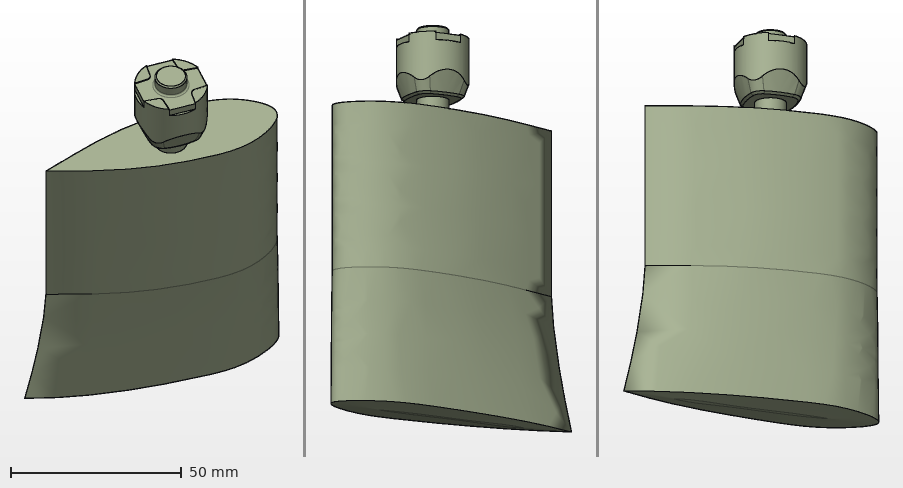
import cadquery as cq
import math


straight_height = 49.9
flare_height = 40.0
blade_bottom = -(straight_height + flare_height)
nose_y = 33.4
tail_y = -38.6
blade_half_width = 11.25
blade_center_x = -1.55
tail_x = -0.95
nose_growth = 0.6
tail_growth = 6.6
thinning = 1.65
tail_flare_power = 1.5
thinning_power = 0.65
flare_steps = 4

widest_fraction = 0.34
shoulder_chord_fraction = 0.61
shoulder_width_fraction = 0.795
cheek_angle = math.radians(45)
tail_half_angle = math.radians(20.5)

crown_depth = 0.5
crown_width_fraction = 0.08
crown_length_fraction = 0.6

overall_height = 117.06
shaft_radius = 4.75
hub_radius = 10.65
hub_bottom = 5.2
hub_top = 23.4
knob_radius = 4.7
knob_top = overall_height + blade_bottom - crown_depth
knob_chamfer = 0.45
knob_fillet = 0.6

recess_depth = 0.35
recess_floor = hub_top - recess_depth
arm_root_half_width = 4.5
arm_end_half_width = 3.95
arm_corner_radius = 1.5
arm_flat_distance = 9.85
arm_flat_depth = 2.5

taper_base = 5.85
taper_top = 12.2
taper_base_distance = 8.2
taper_bulge_radius = 24.0
taper_face_fraction = 0.58
hub_bottom_distance = 7.4


def blade_profile(z, nose, tail, half_width, center_x):
    """Closed teardrop wire: one smooth curve from the sharp tail, round the nose and back."""
    chord = nose - tail
    widest_y = nose - widest_fraction * chord
    shoulder_y = nose - shoulder_chord_fraction * chord
    shoulder = shoulder_width_fraction * half_width
    shoulder_x = center_x + (tail_x - center_x) * (widest_y - shoulder_y) / (widest_y - tail)
    cheek = half_width * math.cos(cheek_angle)
    cheek_y = widest_y + (nose - widest_y) * math.sin(cheek_angle)
    tail_run = math.sin(tail_half_angle)
    tail_drop = math.cos(tail_half_angle)
    outline = [
        (tail_x, tail),
        (shoulder_x + shoulder, shoulder_y),
        (center_x + half_width, widest_y),
        (center_x + cheek, cheek_y),
        (center_x, nose),
        (center_x - cheek, cheek_y),
        (center_x - half_width, widest_y),
        (shoulder_x - shoulder, shoulder_y),
        (tail_x, tail),
    ]
    curve = cq.Edge.makeSpline(
        [cq.Vector(x, y, z) for x, y in outline],
        tangents=[cq.Vector(tail_run, tail_drop, 0), cq.Vector(tail_run, -tail_drop, 0)],
    )
    return cq.Wire.assembleEdges([curve])


def flared_profile(fraction):
    """Blade profile at a fraction of the flared height."""
    thinned = fraction ** thinning_power
    return blade_profile(
        -straight_height - fraction * flare_height,
        nose_y + nose_growth * thinned,
        tail_y - tail_growth * fraction ** tail_flare_power,
        blade_half_width - thinning * thinned,
        blade_center_x,
    )


def make_blade():
    top_wire = blade_profile(0, nose_y, tail_y, blade_half_width, blade_center_x)
    straight = cq.Solid.extrudeLinear(top_wire, [], cq.Vector(0, 0, -straight_height))
    sections = [flared_profile(step / flare_steps) for step in range(flare_steps + 1)]
    flare = cq.Solid.makeLoft(sections)

    bottom_nose = nose_y + nose_growth
    bottom_tail = tail_y - tail_growth
    middle_y = (bottom_nose + bottom_tail) / 2
    crown_half_length = crown_length_fraction * (bottom_nose - bottom_tail) / 2
    crown_wire = blade_profile(
        blade_bottom - crown_depth,
        middle_y + crown_half_length,
        middle_y - crown_half_length,
        crown_width_fraction * (blade_half_width - thinning),
        blade_center_x,
    )
    crown = cq.Solid.makeLoft([flared_profile(1), crown_wire], True)
    return cq.Workplane(straight).union(cq.Workplane(flare)).union(cq.Workplane(crown))


def bulged_square(z, distance):
    """Closed wire of four bulged faces at a distance from the axis, with tangent round corners."""
    half_face = taper_face_fraction * distance
    sine = half_face / taper_bulge_radius
    cosine = math.sqrt(1 - sine ** 2)
    face_end = distance - taper_bulge_radius * (1 - cosine)
    center_gap = (taper_bulge_radius - distance) / (cosine - sine)
    corner_radius = taper_bulge_radius - center_gap
    corner = center_gap * sine + corner_radius * math.sqrt(0.5)
    edges = []
    for quarter in range(4):
        turn = cq.Plane.XY().rotated((0, 0, 90 * quarter))

        def point(x, y):
            return turn.toWorldCoords((x, y, z))

        edges.append(cq.Edge.makeThreePointArc(
            point(-half_face, face_end), point(0, distance), point(half_face, face_end)))
        edges.append(cq.Edge.makeThreePointArc(
            point(half_face, face_end), point(corner, corner), point(face_end, half_face)))
    return cq.Wire.assembleEdges(edges)


def cross_outline():
    """Corner points of a cross whose four arms narrow slightly outwards."""
    points = []
    for quarter in range(4):
        turn = cq.Plane.XY().rotated((0, 0, 90 * quarter))
        corners = [
            (arm_root_half_width, arm_root_half_width),
            (arm_end_half_width, hub_radius),
            (-arm_end_half_width, hub_radius),
        ]
        for x, y in corners:
            corner = turn.toWorldCoords((x, y))
            points.append((corner.x, corner.y))
    return points


def make_hub():
    hub = cq.Workplane().workplane(offset=hub_bottom).circle(hub_radius).extrude(hub_top - hub_bottom)

    slope = (hub_radius - taper_base_distance) / (taper_top - taper_base)
    top_distance = taper_base_distance + slope * (hub_top - taper_base)
    taper = cq.Solid.makeLoft(
        [
            bulged_square(hub_bottom, hub_bottom_distance),
            bulged_square(taper_base, taper_base_distance),
            bulged_square(hub_top, top_distance),
        ],
        True,
    )
    hub = hub.intersect(cq.Workplane(taper))

    recess = cq.Workplane().workplane(offset=recess_floor).polyline(cross_outline()).close()
    recess = recess.extrude(recess_depth)
    inner_reach = arm_root_half_width + arm_corner_radius
    inner_zone = cq.selectors.BoxSelector(
        (-inner_reach, -inner_reach, recess_floor),
        (inner_reach, inner_reach, hub_top),
    )
    recess = recess.edges("|Z").edges(inner_zone).fillet(arm_corner_radius)
    hub = hub.cut(recess)

    flat_thickness = hub_radius - arm_flat_distance
    for quarter in range(4):
        flat_cut = cq.Workplane().box(
            2 * hub_radius, flat_thickness, arm_flat_depth, centered=(True, False, False),
        )
        flat_cut = flat_cut.translate((0, arm_flat_distance, hub_top - arm_flat_depth))
        hub = hub.cut(flat_cut.rotate((0, 0, 0), (0, 0, 1), 90 * quarter))
    return hub


def make_shaft():
    return cq.Workplane().circle(shaft_radius).extrude(hub_bottom)


def make_knob():
    """Round knob with a chamfered top and a concave fillet down to the recess floor."""
    return (
        cq.Workplane("XZ")
        .moveTo(0, recess_floor)
        .lineTo(knob_radius + knob_fillet, recess_floor)
        .radiusArc((knob_radius, recess_floor + knob_fillet), knob_fillet)
        .lineTo(knob_radius, knob_top - knob_chamfer)
        .lineTo(knob_radius - knob_chamfer, knob_top)
        .lineTo(0, knob_top)
        .close()
        .revolve(360, (0, 0, 0), (0, 1, 0))
    )


result = make_blade().union(make_shaft()).union(make_hub()).union(make_knob())